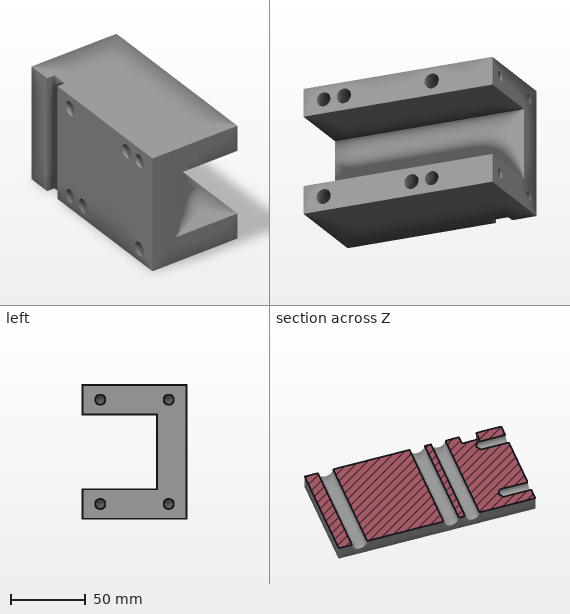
import cadquery as cq
import math

length = 140.0
depth = 70.0
height = 90.0
flange_thickness = 20.0
web_thickness = 20.0

keyway_start = 18.0
keyway_width = 12.0
keyway_depth = 6.0

row_inset = flange_thickness / 2
lower_row_z = row_inset
upper_row_z = height - row_inset
first_column_x = 45.0
last_column_x = 125.0
dowel_spacing = 15.0
bolt_diameter = 10.5
dowel_diameter = 10.0

end_hole_diameter = 6.9
end_hole_depth = 20.0
end_hole_inset = 12.0
drill_point_angle = 118.0


def channel_block():
    """Rectangular block with a channel open to +Y along its whole length."""
    block = cq.Workplane("XY").box(length, depth, height, centered=False)
    channel = (
        cq.Workplane("XY")
        .box(length, depth - web_thickness, height - 2 * flange_thickness, centered=False)
        .translate((0, web_thickness, flange_thickness))
    )
    return block.cut(channel)


def keyway():
    """Rectangular groove running the full height of the web face."""
    return (
        cq.Workplane("XY")
        .box(keyway_width, keyway_depth, height, centered=False)
        .translate((keyway_start, 0, 0))
    )


def through_hole(x, z, diameter):
    """Cylinder through the full depth along Y."""
    return cq.Workplane(cq.Solid.makeCylinder(diameter / 2, depth, cq.Vector(x, 0, z), cq.Vector(0, 1, 0)))


def end_hole(y, z):
    """Drilled hole from the -X face with a conical bottom."""
    radius = end_hole_diameter / 2
    point_length = radius / math.tan(math.radians(drill_point_angle / 2))
    profile = (
        cq.Workplane("XY")
        .polyline([
            (0, 0),
            (0, radius),
            (end_hole_depth, radius),
            (end_hole_depth + point_length, 0),
        ])
        .close()
    )
    return profile.revolve(360, (0, 0, 0), (1, 0, 0)).translate((0, y, z))


result = channel_block().cut(keyway())

bolt_positions = [
    (first_column_x, upper_row_z),
    (last_column_x - dowel_spacing, upper_row_z),
    (first_column_x + dowel_spacing, lower_row_z),
    (last_column_x, lower_row_z),
]
for x, z in bolt_positions:
    result = result.cut(through_hole(x, z, bolt_diameter))

dowel_positions = [
    (last_column_x, upper_row_z),
    (first_column_x, lower_row_z),
]
for x, z in dowel_positions:
    result = result.cut(through_hole(x, z, dowel_diameter))

for y in (end_hole_inset, depth - end_hole_inset):
    for z in (lower_row_z, upper_row_z):
        result = result.cut(end_hole(y, z))